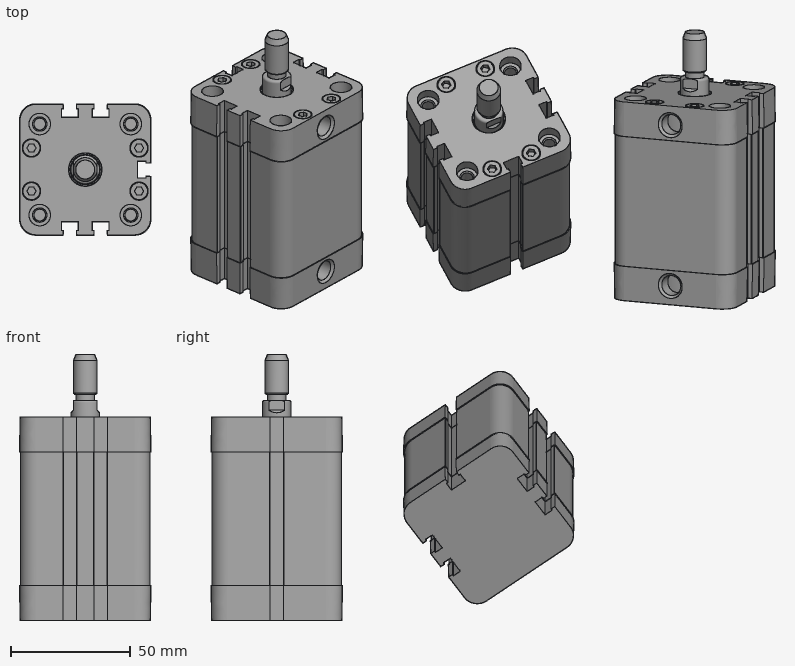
import cadquery as cq
import math

TOTAL_HEIGHT = 111
CASE_HEIGHT = 85.0
CAP_HEIGHT = 14.8
BARREL_HEIGHT = CASE_HEIGHT - 2 * CAP_HEIGHT
TOP_CAP_BASE = CASE_HEIGHT - CAP_HEIGHT

CAP_WIDTH = 54.8
CAP_DRAFT = 0.85
CAP_CORNER_RADIUS = 6.8
BARREL_WIDTH = 54.2
BARREL_CORNER_RADIUS = 6.9

SLOT_OFFSET = 6.4
SLOT_FLOOR = 21.9
SLOT_MOUTH = 5.4
SLOT_WIDTH = 6.9
SLOT_LIP = 1.8
SLOT_LIP_CHAMFER = 0.2
CAP_SLOT_CLEARANCE = 0.1

PORT_HEIGHT = 8.1
PORT_DIAMETER = 8.5
PORT_MOUTH_DIAMETER = 10.8
PORT_CHAMFER = (PORT_MOUTH_DIAMETER - PORT_DIAMETER) / 2
PORT_FLOOR_DIAMETER = 40

MOUNT_OFFSET = 19.0
MOUNT_BORE_DIAMETER = 9.0
MOUNT_BORE_DEPTH = 5.2
MOUNT_DIAMETER = 4.9
MOUNT_MOUTH_DIAMETER = 6.0
MOUNT_DEPTH = 12.2
MOUNT_CHAMFER = (MOUNT_MOUTH_DIAMETER - MOUNT_DIAMETER) / 2

SCREW_X = 22.4
SCREW_Y = 9.0
SCREW_RING_OUTER = 7.7
SCREW_RING_INNER = 7.1
SCREW_RING_DEPTH = 1.1
HEX_ACROSS_FLATS = 3.3
HEX_DEPTH = 2.2

ROD_DIAMETER = 12.0
ROD_SHOULDER_Z = 91.9
ROD_FILLET = 1.0
NECK_DIAMETER = 7.9
THREAD_DIAMETER = 10
THREAD_BASE_Z = 94.4
THREAD_BASE_CHAMFER = 0.5
TIP_DIAMETER = 7.9
TIP_CHAMFER_HEIGHT = 2.5
FLATS_ACROSS = 10
FLATS_BASE_Z = 87.8
FLATS_RAMP_HEIGHT = 1.1

RECESS_RIM_DIAMETER = 14.0
RECESS_DIAMETER = 13.7
RECESS_DEPTH = 1.1
RECESS_CHAMFER = (RECESS_RIM_DIAMETER - RECESS_DIAMETER) / 2
STEP_DIAMETER = 12.5
STEP_DEPTH = 2.2


def rounded_square(width, radius, height, draft=0):
    """Square block on Z = 0 with rounded corners, narrowing upward by the draft."""
    outline = cq.Sketch().rect(width, width).vertices().fillet(radius)
    return cq.Workplane("XY").placeSketch(outline).extrude(height, taper=draft)


def t_slot(clearance):
    """T-slot cutter open toward +Y, centred on X = 0, as long as the whole case."""
    face = BARREL_WIDTH / 2
    half_mouth = SLOT_MOUTH / 2 + clearance
    half_width = SLOT_WIDTH / 2 + clearance
    floor = SLOT_FLOOR - clearance
    slot = (
        cq.Workplane("XY")
        .moveTo(0, floor)
        .lineTo(half_width, floor)
        .lineTo(half_width, face - SLOT_LIP)
        .lineTo(half_mouth, face - SLOT_LIP)
        .lineTo(half_mouth, CAP_WIDTH)
        .lineTo(0, CAP_WIDTH)
        .close()
        .extrude(CASE_HEIGHT)
    )
    return slot.union(slot.mirror("YZ"))


def lip_chamfer_wedge():
    """Wedge cutter that chamfers both lips of the barrel slot facing +Y."""
    face = BARREL_WIDTH / 2
    half_mouth = SLOT_MOUTH / 2
    half_flare = half_mouth + SLOT_LIP_CHAMFER
    return (
        cq.Workplane("XY")
        .moveTo(-half_mouth, face - SLOT_LIP_CHAMFER)
        .lineTo(half_mouth, face - SLOT_LIP_CHAMFER)
        .lineTo(half_flare, face)
        .lineTo(-half_flare, face)
        .close()
        .extrude(CASE_HEIGHT)
    )


def cut_slots(body, slot):
    """Cut two slots in the front and back faces and one in the +X face."""
    for x in (-SLOT_OFFSET, SLOT_OFFSET):
        back = slot.translate((x, 0, 0))
        body = body.cut(back).cut(back.mirror("XZ"))
    return body.cut(slot.rotate((0, 0, 0), (0, 0, 1), -90))


def cut_port(cap):
    """Cut the chamfered port in the -X face, ending on a round floor."""
    z = CAP_HEIGHT - PORT_HEIGHT
    face_x = -CAP_WIDTH / 2 + z * math.tan(math.radians(CAP_DRAFT))
    mouth_radius = PORT_MOUTH_DIAMETER / 2
    bore_radius = PORT_DIAMETER / 2
    port = (
        cq.Workplane("XZ")
        .moveTo(-CAP_WIDTH, 0)
        .lineTo(-CAP_WIDTH, mouth_radius)
        .lineTo(face_x, mouth_radius)
        .lineTo(face_x + PORT_CHAMFER, bore_radius)
        .lineTo(0, bore_radius)
        .lineTo(0, 0)
        .close()
        .revolve(360, (0, 0, 0), (1, 0, 0))
        .translate((0, 0, z))
    )
    core = cq.Workplane("XY").circle(PORT_FLOOR_DIAMETER / 2).extrude(CAP_HEIGHT)
    return cap.cut(port.cut(core))


def make_cap():
    """Plain end cap with its barrel face on Z = 0 and its outer face up."""
    cap = rounded_square(CAP_WIDTH, CAP_CORNER_RADIUS, CAP_HEIGHT, CAP_DRAFT)
    return cut_port(cut_slots(cap, t_slot(CAP_SLOT_CLEARANCE)))


def cut_mount_holes(cap):
    """Cut the counterbored corner holes, each with a chamfered pilot hole."""
    bore_floor = CAP_HEIGHT - MOUNT_BORE_DEPTH
    hole = (
        cq.Workplane("XZ")
        .moveTo(0, CAP_HEIGHT)
        .lineTo(MOUNT_BORE_DIAMETER / 2, CAP_HEIGHT)
        .lineTo(MOUNT_BORE_DIAMETER / 2, bore_floor)
        .lineTo(MOUNT_MOUTH_DIAMETER / 2, bore_floor)
        .lineTo(MOUNT_DIAMETER / 2, bore_floor - MOUNT_CHAMFER)
        .lineTo(MOUNT_DIAMETER / 2, CAP_HEIGHT - MOUNT_DEPTH)
        .lineTo(0, CAP_HEIGHT - MOUNT_DEPTH)
        .close()
        .revolve(360, (0, 0, 0), (0, 1, 0))
    )
    for x in (-MOUNT_OFFSET, MOUNT_OFFSET):
        for y in (-MOUNT_OFFSET, MOUNT_OFFSET):
            cap = cap.cut(hole.translate((x, y, 0)))
    return cap


def cut_screw_heads(cap):
    """Cut a ring groove and a hexagon socket for each screw head."""
    centres = [(x, y) for x in (-SCREW_X, SCREW_X) for y in (-SCREW_Y, SCREW_Y)]
    face = cq.Workplane("XY", origin=(0, 0, CAP_HEIGHT))
    rings = (
        face.pushPoints(centres)
        .circle(SCREW_RING_OUTER / 2)
        .circle(SCREW_RING_INNER / 2)
        .extrude(-SCREW_RING_DEPTH)
    )
    hex_corners = HEX_ACROSS_FLATS / math.cos(math.pi / 6)
    hexagon = cq.Sketch().regularPolygon(hex_corners / 2, 6, 90)
    sockets = face.pushPoints(centres).placeSketch(hexagon).extrude(-HEX_DEPTH)
    return cap.cut(rings).cut(sockets)


def cut_rod_hole(cap):
    """Cut the rod hole through the cap and the stepped recess around the rod."""
    hole = (
        cq.Workplane("XZ")
        .lineTo(ROD_DIAMETER / 2, 0)
        .lineTo(ROD_DIAMETER / 2, CAP_HEIGHT - STEP_DEPTH)
        .lineTo(STEP_DIAMETER / 2, CAP_HEIGHT - STEP_DEPTH)
        .lineTo(STEP_DIAMETER / 2, CAP_HEIGHT - RECESS_DEPTH)
        .lineTo(RECESS_DIAMETER / 2, CAP_HEIGHT - RECESS_DEPTH)
        .lineTo(RECESS_DIAMETER / 2, CAP_HEIGHT - RECESS_CHAMFER)
        .lineTo(RECESS_RIM_DIAMETER / 2, CAP_HEIGHT)
        .lineTo(0, CAP_HEIGHT)
        .close()
        .revolve(360, (0, 0, 0), (0, 1, 0))
    )
    return cap.cut(hole)


def make_bottom_cap():
    return make_cap().mirror("XY").translate((0, 0, CAP_HEIGHT))


def make_top_cap():
    cap = cut_rod_hole(cut_screw_heads(cut_mount_holes(make_cap())))
    return cap.translate((0, 0, TOP_CAP_BASE))


def make_barrel():
    barrel = rounded_square(BARREL_WIDTH, BARREL_CORNER_RADIUS, BARREL_HEIGHT)
    slot = t_slot(0).union(lip_chamfer_wedge())
    return cut_slots(barrel, slot).translate((0, 0, CAP_HEIGHT))


def make_rod():
    """Stepped rod standing on the barrel, with two wrench flats facing -X and +X."""
    radius = ROD_DIAMETER / 2
    rod = (
        cq.Workplane("XZ")
        .moveTo(0, TOP_CAP_BASE)
        .lineTo(radius, TOP_CAP_BASE)
        .lineTo(radius, ROD_SHOULDER_Z - ROD_FILLET)
        .radiusArc((radius - ROD_FILLET, ROD_SHOULDER_Z), -ROD_FILLET)
        .lineTo(NECK_DIAMETER / 2, ROD_SHOULDER_Z)
        .lineTo(NECK_DIAMETER / 2, THREAD_BASE_Z)
        .lineTo(THREAD_DIAMETER / 2 - THREAD_BASE_CHAMFER, THREAD_BASE_Z)
        .lineTo(THREAD_DIAMETER / 2, THREAD_BASE_Z + THREAD_BASE_CHAMFER)
        .lineTo(THREAD_DIAMETER / 2, TOTAL_HEIGHT - TIP_CHAMFER_HEIGHT)
        .lineTo(TIP_DIAMETER / 2, TOTAL_HEIGHT)
        .lineTo(0, TOTAL_HEIGHT)
        .close()
        .revolve(360, (0, 0, 0), (0, 1, 0))
    )
    flat = (
        cq.Workplane("XZ")
        .moveTo(radius, FLATS_BASE_Z - FLATS_RAMP_HEIGHT)
        .lineTo(FLATS_ACROSS / 2, FLATS_BASE_Z)
        .lineTo(FLATS_ACROSS / 2, ROD_SHOULDER_Z)
        .lineTo(radius, ROD_SHOULDER_Z)
        .close()
        .extrude(ROD_DIAMETER / 2, both=True)
    )
    return rod.cut(flat).cut(flat.mirror("YZ"))


bottom_cap = make_bottom_cap()
barrel = make_barrel()
top_cap = make_top_cap()
rod = make_rod()

result = cq.Compound.makeCompound([bottom_cap.val(), barrel.val(), top_cap.val(), rod.val()])